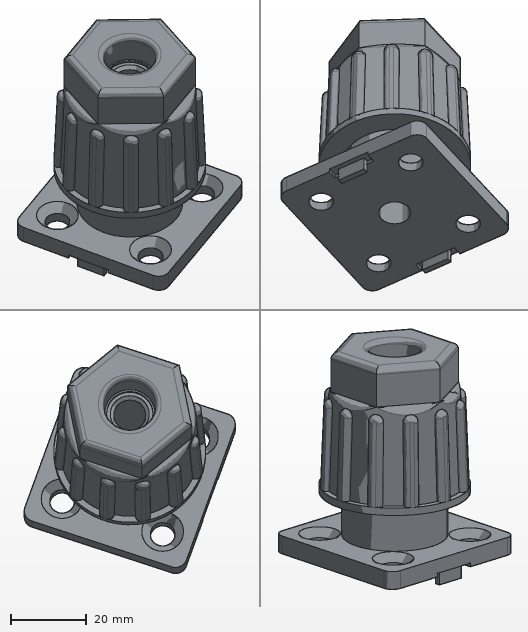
import cadquery as cq
import math

PLATE_SIZE = 45.0
PLATE_BOTTOM = 3.0
PLATE_TOP = 8.0
PLATE_CORNER_RADIUS = 3.0

SCREW_SPACING = 28.0
SCREW_HOLE_DIAMETER = 6.5
COUNTERSINK_DIAMETER = 11.0
COUNTERSINK_ANGLE = 90.0

TAB_WIDTH = 8.0
TAB_THICKNESS = 1.5
TAB_OUTER_Y = 21.2
NOTCH_WIDTH = 12.0
NOTCH_HEIGHT = 1.0

POST_DIAMETER = 28.0
PASSAGE_DIAMETER = 8.4

TOTAL_HEIGHT = 60.0
NUT_BOTTOM = 20.0
FLANGE_DIAMETER = 40.0
FLANGE_TOP = 22.0

HEX_SIDES = 6
HEX_FLATS = 30.0
HEX_BOTTOM = 49.0
HEX_TOP_FILLET = 2.0

GRIP_BOTTOM_RADIUS = 18.3
GRIP_TOP_RADIUS = HEX_FLATS / math.sqrt(3)

RIM_HALF_ANGLE = 29.5
RIM_SECTIONS = 5
CUTTER_MARGIN = 1.2
CUTTER_CLEARANCE = 0.005

RIB_COUNT = 12
RIB_WIDTH = 4.0
RIB_TOP = 47.0
RIB_FILLET = 1.5
RIB_TOP_RADIUS = 19.0
RIB_ROOT_RADIUS = 16.2

BORE_TOP_DIAMETER = 13.75
BORE_FLOOR_DIAMETER = 13.2
BORE_MOUTH_FILLET = 1.45
BORE_FLOOR = 52.3
NECK_DIAMETER = 12.2
NECK_FLOOR = 51.7
FUNNEL_DIAMETER = 10.25
FUNNEL_DEPTH = 0.9


def hexagon_prism(flats, bottom, top):
    """Hexagonal prism on the Z axis with two corners on the Y axis."""
    return (
        cq.Workplane("XY", origin=(0, 0, bottom))
        .transformed(rotate=(0, 0, 90))
        .polygon(HEX_SIDES, flats / math.cos(math.pi / HEX_SIDES))
        .extrude(top - bottom)
    )


def cylinder(diameter, bottom, top):
    """Upright cylinder on the Z axis."""
    return cq.Workplane("XY", origin=(0, 0, bottom)).circle(diameter / 2).extrude(top - bottom)


def cone(bottom_radius, bottom, top_radius, top):
    """Truncated cone on the Z axis."""
    profile = [(0, bottom), (bottom_radius, bottom), (top_radius, top), (0, top)]
    return cq.Workplane("XZ").polyline(profile).close().revolve(360, (0, 0, 0), (0, 1, 0))


def box(width, y_range, z_range):
    """Box centred on X, spanning the given Y and Z ranges."""
    depth = y_range[1] - y_range[0]
    height = z_range[1] - z_range[0]
    block = cq.Workplane("XY").box(width, depth, height, centered=(True, False, False))
    return block.translate((0, y_range[0], z_range[0]))


def make_base():
    """Square plate with countersunk holes, a round post and two notched tabs underneath."""
    plate = (
        cq.Workplane("XY", origin=(0, 0, PLATE_BOTTOM))
        .rect(PLATE_SIZE, PLATE_SIZE)
        .extrude(PLATE_TOP - PLATE_BOTTOM)
        .edges("|Z")
        .fillet(PLATE_CORNER_RADIUS)
        .faces(">Z")
        .workplane()
        .rect(SCREW_SPACING, SCREW_SPACING, forConstruction=True)
        .vertices()
        .cskHole(SCREW_HOLE_DIAMETER, COUNTERSINK_DIAMETER, COUNTERSINK_ANGLE)
    )
    tab_inner_y = TAB_OUTER_Y - TAB_THICKNESS
    notch_top = PLATE_BOTTOM + NOTCH_HEIGHT
    notch = box(NOTCH_WIDTH, (tab_inner_y, PLATE_SIZE / 2), (PLATE_BOTTOM, notch_top))
    tab = box(TAB_WIDTH, (tab_inner_y, TAB_OUTER_Y), (0, notch_top))
    base = plate.union(cylinder(POST_DIAMETER, PLATE_TOP, NUT_BOTTOM))
    for turn in (0, 180):
        base = base.cut(notch.rotate((0, 0, 0), (0, 0, 1), turn))
        base = base.union(tab.rotate((0, 0, 0), (0, 0, 1), turn))
    return base.cut(cylinder(PASSAGE_DIAMETER, 0, NUT_BOTTOM))


def rim_section(angle):
    """Closed wire of the rim cutter, in the upright half-plane at an angle from the middle of a side."""
    cosine = math.cos(math.radians(angle))
    sine = math.sin(math.radians(angle))
    side_radius = HEX_FLATS / 2 / cosine
    round_radius = GRIP_TOP_RADIUS - side_radius
    taper = (GRIP_BOTTOM_RADIUS - GRIP_TOP_RADIUS) / (HEX_BOTTOM - FLANGE_TOP)
    foot_radius = GRIP_TOP_RADIUS + CUTTER_CLEARANCE + taper * round_radius
    foot_height = HEX_BOTTOM - round_radius
    middle = (
        side_radius + (foot_radius - side_radius) * math.sin(math.pi / 4),
        foot_height + round_radius * math.sin(math.pi / 4),
    )
    plane = cq.Plane(origin=(0, 0, 0), xDir=(cosine, sine, 0), normal=(sine, -cosine, 0))
    return (
        cq.Workplane(plane)
        .moveTo(side_radius, HEX_BOTTOM)
        .threePointArc(middle, (foot_radius, foot_height))
        .lineTo(foot_radius + CUTTER_MARGIN, foot_height)
        .lineTo(foot_radius + CUTTER_MARGIN, HEX_BOTTOM + CUTTER_MARGIN)
        .lineTo(side_radius, HEX_BOTTOM + CUTTER_MARGIN)
        .close()
        .val()
    )


def make_grip():
    """Tapered grip with its rim rounded beside each side of the hexagon, fading out at the corners."""
    grip = cone(GRIP_BOTTOM_RADIUS, FLANGE_TOP, GRIP_TOP_RADIUS, HEX_BOTTOM)
    step = 2 * RIM_HALF_ANGLE / (RIM_SECTIONS - 1)
    sections = [rim_section(index * step - RIM_HALF_ANGLE) for index in range(RIM_SECTIONS)]
    rim_cutter = cq.Workplane(cq.Solid.makeLoft(sections))
    for side in range(HEX_SIDES):
        grip = grip.cut(rim_cutter.rotate((0, 0, 0), (0, 0, 1), side * 360 / HEX_SIDES))
    return grip


def make_rib():
    """Rib on the +X side: an upright bar with an arched top and rounded outer edges."""
    half_width = RIB_WIDTH / 2
    arch_start = RIB_TOP - half_width
    bar = (
        cq.Workplane("YZ", origin=(RIB_ROOT_RADIUS, 0, 0))
        .moveTo(-half_width, FLANGE_TOP)
        .lineTo(-half_width, arch_start)
        .threePointArc((0, RIB_TOP), (half_width, arch_start))
        .lineTo(half_width, FLANGE_TOP)
        .close()
        .extrude(FLANGE_DIAMETER / 2)
    )
    rib = bar.intersect(cone(FLANGE_DIAMETER / 2, FLANGE_TOP, RIB_TOP_RADIUS, RIB_TOP))
    outer_edges = rib.faces(">X").edges("not(<Z)")
    return outer_edges.fillet(RIB_FILLET)


def make_nut():
    """Flanged and ribbed grip under a hexagon, with a stepped bore down its axis."""
    hexagon = hexagon_prism(HEX_FLATS, HEX_BOTTOM, TOTAL_HEIGHT).faces(">Z").edges().fillet(HEX_TOP_FILLET)
    nut = cylinder(FLANGE_DIAMETER, NUT_BOTTOM, FLANGE_TOP).union(make_grip()).union(hexagon)
    rib = make_rib()
    for index in range(RIB_COUNT):
        nut = nut.union(rib.rotate((0, 0, 0), (0, 0, 1), index * 360 / RIB_COUNT))
    nut = nut.cut(cone(BORE_FLOOR_DIAMETER / 2, BORE_FLOOR, BORE_TOP_DIAMETER / 2, TOTAL_HEIGHT))
    nut = nut.faces(">Z").edges("%CIRCLE").fillet(BORE_MOUTH_FILLET)
    nut = nut.cut(cylinder(NECK_DIAMETER, NECK_FLOOR, BORE_FLOOR))
    funnel_bottom = NECK_FLOOR - FUNNEL_DEPTH
    nut = nut.cut(cone(PASSAGE_DIAMETER / 2, funnel_bottom, FUNNEL_DIAMETER / 2, NECK_FLOOR))
    return nut.cut(cylinder(PASSAGE_DIAMETER, NUT_BOTTOM, NECK_FLOOR))


base = make_base()
nut = make_nut()
result = cq.Compound.makeCompound([base.val(), nut.val()])